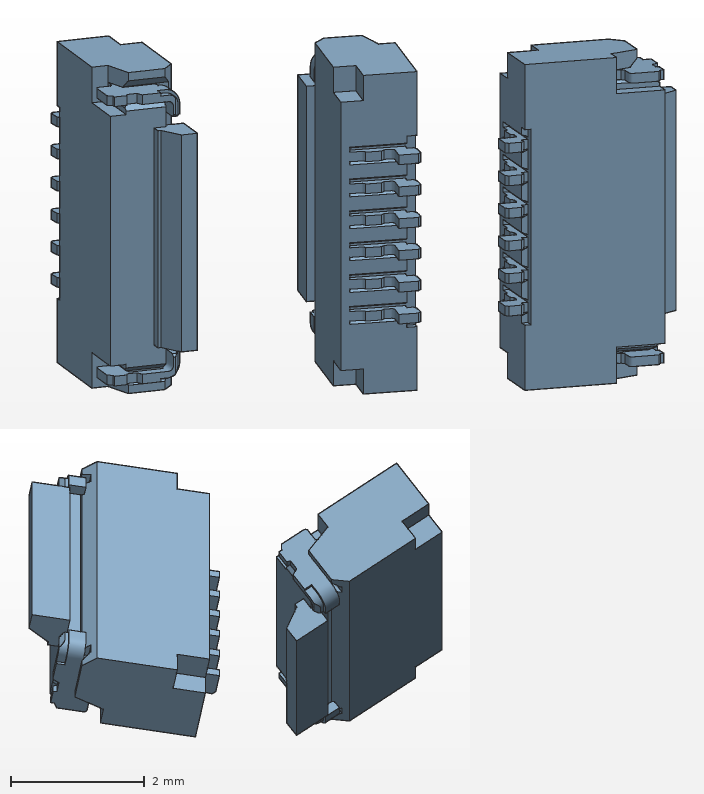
import cadquery as cq


half_length = 2.5
core_length = 2.21
body_height = 1.17
core_half_length = 2.085
core_top = 0.895
core_corner_x = 0.125
core_corner_z = 0.085
foot_half_length = 1.945
ledge_half_length = 2.035
ledge_rise = 0.05
ear_end = 1.905
ear_chamfer_start = 1.705
ear_shoulder_top = 0.99
ear_shoulder_bottom = 0.405
ear_bevel = 0.12
end_notch_x = 1.445
end_notch_height = 0.255
corner_cut_x = 0.49
corner_cut_bottom = 0.825
corner_cut_z = 0.395

terminal_count = 6
terminal_pitch = 0.5
terminal_width = 0.15
terminal_offset = -0.015
terminal_reach = 0.3
terminal_bevel = 0.05
tail_top = 0.35
tail_lift = 0.015
tail_throat = 0.05
bump_bottom = 0.555
bump_top = 0.8
groove_depth = 0.1
groove_bottom = 0.155
groove_top = 1.03
groove_mouth_half = 0.14
groove_floor_half = 0.095
trough_half_length = 1.5

lever_half_length = 1.69
lever_back = 2.125
lever_tip = 2.7
lever_top = 1.205
lever_tip_bottom = 0.95
lever_bottom = 0.7
lever_step_top = 0.75
lever_heel_bottom = 0.79
lever_heel_x = 2.37

clip_inner_z = 2.1
clip_thickness = 0.15
clip_outer_z = clip_inner_z + clip_thickness
clip_offset = -0.01
clip_seat_bottom = 0.35
clip_relief_depth = 0.05
clip_top = 1.145
clip_bend_inner = 0.085
clip_bottom = -0.015
clip_left = 1.65
clip_right = 2.255
clip_corner_radius = 0.05
clip_corner_bevel = 0.04
clip_sole_right = 2.105
clip_toe = core_length
clip_toe_bottom = 0.065
clip_toe_top = 0.27
clip_waist = 2.155
clip_waist_bottom = 0.285
clip_waist_top = 0.445
clip_hip = 0.495
clip_shoulder = 1.025
clip_wing_left = 1.87
clip_wing_end = 1.845
clip_wing_corner = 0.045


def block(x_range, y_range, z_range):
    """Box between the given limits along each axis."""
    size = [high - low for low, high in (x_range, y_range, z_range)]
    return cq.Workplane("XY").box(*size, centered=False).translate((x_range[0], y_range[0], z_range[0]))


def slab(points, z_low, z_high):
    """XY outline extruded between two Z levels."""
    return cq.Workplane("XY").workplane(offset=z_low).polyline(points).close().extrude(z_high - z_low)


def both_ends(solid):
    """The solid together with its mirror image about Z = 0."""
    return solid.union(solid.mirror("XY"))


def make_core():
    """Full-length housing block, with a stepped and beveled edge along each end notch."""
    section = [
        (0, -core_half_length),
        (core_length - core_corner_x, -core_half_length),
        (core_length, -core_half_length + core_corner_z),
        (core_length, core_half_length - core_corner_z),
        (core_length - core_corner_x, core_half_length),
        (0, core_half_length),
    ]
    core = cq.Workplane("XZ").polyline(section).close().extrude(-core_top)
    shoulder = slab(
        [
            (0, core_top),
            (0, body_height),
            (ear_chamfer_start, body_height),
            (ear_end, ear_shoulder_top),
            (ear_end, core_top),
        ],
        -core_half_length,
        core_half_length,
    )
    step = (
        cq.Workplane("YZ", origin=(end_notch_x, 0, 0))
        .polyline(
            [
                (0, foot_half_length),
                (end_notch_height, foot_half_length),
                (end_notch_height, ledge_half_length),
                (end_notch_height + ledge_rise, core_half_length),
                (0, core_half_length),
            ]
        )
        .close()
        .extrude(core_length - end_notch_x)
    )
    return core.union(shoulder).cut(both_ends(step))


def make_ear():
    """End ear of the housing, beveled where it overhangs the clip."""
    outline = [
        (0, 0),
        (end_notch_x, 0),
        (end_notch_x, end_notch_height),
        (ear_end, ear_shoulder_bottom),
        (ear_end, ear_shoulder_top),
        (ear_chamfer_start, body_height),
        (0, body_height),
    ]
    ear = slab(outline, core_half_length, half_length)
    plan = [
        (0, core_half_length),
        (ear_end - ear_bevel, core_half_length),
        (ear_end - ear_bevel, clip_outer_z),
        (ear_end, clip_outer_z + ear_bevel),
        (ear_end, half_length),
        (0, half_length),
    ]
    ear = ear.intersect(cq.Workplane("XZ").polyline(plan).close().extrude(-body_height))
    corner = block(
        (0, corner_cut_x),
        (corner_cut_bottom, body_height),
        (half_length - corner_cut_z, half_length),
    )
    return ear.cut(corner)


def bent_strip(thickness):
    """Strip lying on the housing end and turned down along its upper edge."""
    bend_start = clip_top - clip_thickness - clip_bend_inner
    wing_inner = clip_top - clip_thickness
    wing_outer = wing_inner + thickness
    bend_end = clip_inner_z - clip_bend_inner
    return (
        cq.Workplane("YZ")
        .moveTo(clip_bottom, clip_inner_z)
        .lineTo(bend_start, clip_inner_z)
        .radiusArc((wing_inner, bend_end), clip_bend_inner)
        .lineTo(wing_inner, clip_wing_end)
        .lineTo(wing_outer, clip_wing_end)
        .lineTo(wing_outer, bend_end)
        .radiusArc((bend_start, clip_inner_z + thickness), -(clip_bend_inner + thickness))
        .lineTo(clip_bottom, clip_inner_z + thickness)
        .close()
        .extrude(clip_right)
    )


def make_clip():
    """Flat plate lying on the housing end, bent at its top into a short wing."""
    outline = (
        cq.Workplane("XY")
        .moveTo(end_notch_x, end_notch_height)
        .lineTo(clip_left - clip_corner_radius, end_notch_height)
        .lineTo(clip_left, end_notch_height - clip_corner_bevel)
        .lineTo(clip_left, clip_bottom + clip_corner_radius)
        .radiusArc((clip_left + clip_corner_radius, clip_bottom), -clip_corner_radius)
        .lineTo(clip_sole_right, clip_bottom)
        .lineTo(clip_waist, clip_toe_bottom)
        .lineTo(clip_toe, clip_toe_bottom)
        .lineTo(clip_toe, clip_toe_top)
        .lineTo(clip_waist, clip_waist_bottom)
        .lineTo(clip_waist, clip_waist_top)
        .lineTo(clip_right, clip_hip)
        .lineTo(clip_right, clip_shoulder)
        .lineTo(lever_back, clip_top)
        .lineTo(clip_wing_left, clip_top)
        .lineTo(clip_wing_left, core_top)
        .lineTo(end_notch_x, core_top)
        .close()
        .extrude(half_length)
    )
    corner = (
        cq.Workplane("XZ")
        .polyline(
            [
                (clip_right - clip_wing_corner, clip_wing_end),
                (clip_right, clip_wing_end),
                (clip_right, clip_wing_end + clip_wing_corner),
            ]
        )
        .close()
        .extrude(-clip_top)
    )
    relief = block(
        (lever_back, clip_right),
        (lever_heel_bottom, clip_top),
        (clip_wing_end, clip_outer_z),
    )
    relief = relief.cut(bent_strip(clip_thickness - clip_relief_depth))
    return bent_strip(clip_thickness).intersect(outline).cut(corner).cut(relief)


def make_clip_seat():
    """Low pad that closes the gap between the housing end and the clip."""
    return block(
        (end_notch_x, core_length - core_corner_x),
        (clip_seat_bottom, core_top),
        (core_half_length, clip_inner_z - clip_offset),
    )


def make_lever():
    """Locking lever bar across the open side."""
    outline = [
        (lever_back, lever_heel_bottom),
        (core_length, lever_heel_bottom),
        (core_length, lever_bottom),
        (lever_heel_x, lever_bottom),
        (lever_heel_x, lever_step_top),
        (lever_tip, lever_tip_bottom),
        (lever_tip, lever_top),
        (lever_back, lever_top),
    ]
    return slab(outline, -lever_half_length, lever_half_length)


def make_groove(z):
    """Flared groove in the terminal wall."""
    return (
        cq.Workplane("XZ")
        .polyline(
            [
                (0, z - groove_mouth_half),
                (groove_depth, z - groove_floor_half),
                (groove_depth, z + groove_floor_half),
                (0, z + groove_mouth_half),
            ]
        )
        .close()
        .extrude(-(groove_top - groove_bottom))
        .translate((0, groove_bottom, 0))
    )


def make_terminal(z):
    """Terminal with a soldering tail and a small bump above it."""
    return (
        cq.Workplane("XY", origin=(0, 0, z - terminal_width / 2))
        .moveTo(groove_depth, groove_top)
        .lineTo(0, groove_top)
        .lineTo(0, bump_top + terminal_bevel)
        .radiusArc((-terminal_bevel, bump_top), terminal_bevel)
        .lineTo(-terminal_bevel, bump_bottom)
        .lineTo(0, bump_bottom - terminal_bevel)
        .lineTo(0, tail_top + terminal_bevel)
        .radiusArc((-terminal_bevel, tail_top), terminal_bevel)
        .lineTo(-terminal_reach, tail_top)
        .lineTo(-terminal_reach, terminal_bevel)
        .lineTo(-terminal_reach + terminal_bevel, 0)
        .lineTo(-terminal_bevel, tail_lift)
        .lineTo(0, tail_throat)
        .lineTo(0, groove_bottom)
        .lineTo(groove_depth, groove_bottom)
        .close()
        .extrude(terminal_width)
    )


housing = make_core().union(both_ends(make_ear())).union(both_ends(make_clip_seat()))
housing = housing.cut(block((0, groove_depth), (0, groove_bottom), (-trough_half_length, trough_half_length)))

result = housing.union(both_ends(make_clip()).translate((0, 0, clip_offset))).union(make_lever())
for index in range(terminal_count):
    groove_z = (index - (terminal_count - 1) / 2) * terminal_pitch
    result = result.cut(make_groove(groove_z))
    result = result.union(make_terminal(groove_z + terminal_offset))